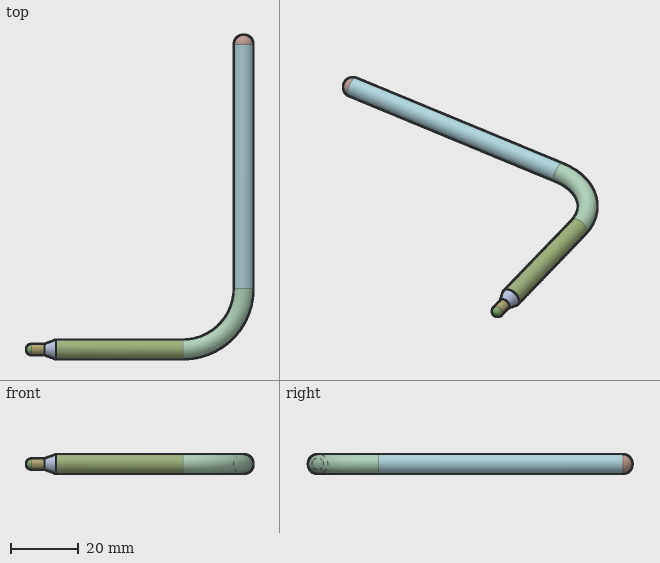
import cadquery as cq

overall_x = 67.45
overall_y = 96.2

rod_diameter = 6.0
pin_diameter = 3.5
rod_radius = rod_diameter / 2
pin_radius = pin_diameter / 2

bend_radius = 18.0
pin_length = 5.6
taper_length = 3.4

short_leg_length = overall_x - rod_radius - bend_radius
long_leg_length = overall_y - rod_radius
tip_x = -short_leg_length
taper_start_x = tip_x + pin_length
rod_start_x = taper_start_x + taper_length
dome_base_y = long_leg_length - rod_radius


def make_pin_end():
    """Round-nosed pin and taper, revolved about the short leg's axis."""
    nose_rise = pin_radius * 2**0.5 / 2
    profile = (
        cq.Workplane("XY")
        .moveTo(tip_x, 0)
        .threePointArc(
            (tip_x + pin_radius - nose_rise, nose_rise),
            (tip_x + pin_radius, pin_radius),
        )
        .lineTo(taper_start_x, pin_radius)
        .lineTo(rod_start_x, rod_radius)
        .lineTo(rod_start_x, 0)
        .close()
    )
    return profile.revolve(360, (0, 0, 0), (1, 0, 0))


def make_bent_rod():
    """Round rod swept along the short leg, the bend and the long leg."""
    path = (
        cq.Workplane("XY")
        .moveTo(rod_start_x, 0)
        .lineTo(0, 0)
        .radiusArc((bend_radius, bend_radius), -bend_radius)
        .lineTo(bend_radius, dome_base_y)
    )
    section = cq.Workplane("YZ", origin=(rod_start_x, 0, 0)).circle(rod_radius)
    return section.sweep(path)


def make_dome():
    """Ball that leaves a hemispherical end on the long leg."""
    return cq.Workplane("XY", origin=(bend_radius, dome_base_y, 0)).sphere(rod_radius)


result = make_bent_rod().union(make_pin_end()).union(make_dome())